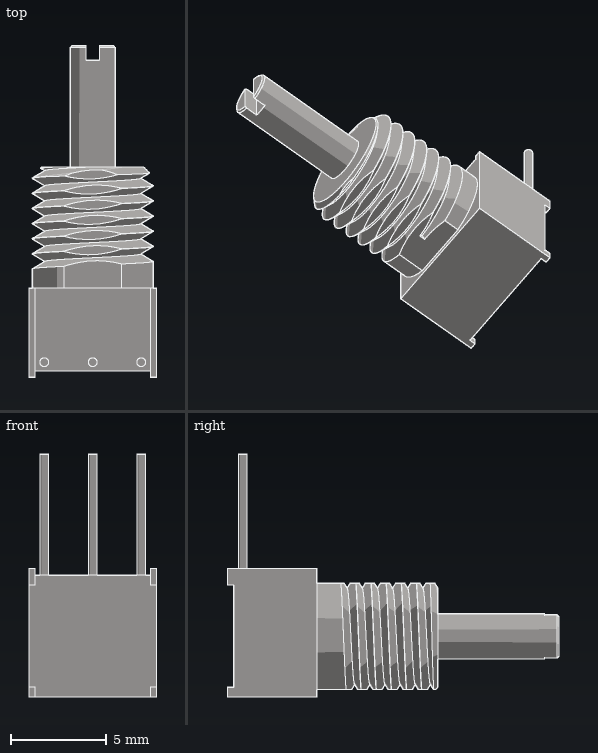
import cadquery as cq
import math

INCH = 25.4

housing_width = 6.71
housing_depth = 4.36
housing_height = 6.40
housing_bottom = -3.19
housing_top = housing_bottom + housing_height
plate_thickness = 0.33
plate_rise = 0.36
foot_length = 0.33
upper_foot_height = 0.88
lower_foot_height = 0.53

pin_diameter = 0.46
pin_length = 0.25 * INCH
pin_pitch = 0.1 * INCH
pin_y = -3.89
pin_count = 3

bushing_radius = 0.25 * INCH / 2
bushing_length = 0.25 * INCH
flat_height = 2.79
end_chamfer = 0.51
thread_pitch = INCH / 32
thread_depth = 0.65
thread_start = thread_pitch
groove_width = 0.98 * thread_pitch
groove_clearance = 0.1

shaft_radius = 3 / 32 * INCH / 2
shaft_length = 0.25 * INCH
shaft_chamfer = 0.1
slot_width = 0.70
slot_depth = 0.76


def rod(radius, y_start, length):
    """Cylinder on the Y axis, from y_start toward +Y."""
    return cq.Workplane("XZ", origin=(0, y_start, 0)).circle(radius).extrude(-length)


def slab(x_size, y_range, z_range, x_center=0):
    """Box centred on x_center that spans the given Y and Z ranges."""
    y_low, y_high = y_range
    z_low, z_high = z_range
    box = cq.Workplane("XY").box(x_size, y_high - y_low, z_high - z_low)
    return box.translate((x_center, (y_low + y_high) / 2, (z_low + z_high) / 2))


def make_housing():
    block_y = (-housing_depth, 0)
    foot_y = (-housing_depth - foot_length, 0)
    plate_top = housing_top + plate_rise
    body = slab(housing_width, block_y, (housing_bottom, housing_top))
    for side in (-1, 1):
        plate_x = side * (housing_width - plate_thickness) / 2
        plate_z = (housing_bottom, plate_top)
        upper_foot_z = (plate_top - upper_foot_height, plate_top)
        lower_foot_z = (housing_bottom, housing_bottom + lower_foot_height)
        body = body.union(slab(plate_thickness, block_y, plate_z, plate_x))
        body = body.union(slab(plate_thickness, foot_y, upper_foot_z, plate_x))
        body = body.union(slab(plate_thickness, foot_y, lower_foot_z, plate_x))
    return body


def make_pins():
    first_x = -pin_pitch * (pin_count - 1) / 2
    centers = [(first_x + i * pin_pitch, pin_y) for i in range(pin_count)]
    embed = housing_height / 2
    base = cq.Workplane("XY").workplane(offset=housing_top - embed)
    return base.pushPoints(centers).circle(pin_diameter / 2).extrude(pin_length + embed)


def make_thread_groove():
    """Right-hand V groove that begins below the axis and runs out of the end."""
    half_width = groove_width / 2
    root_radius = bushing_radius - thread_depth
    outer_radius = bushing_radius + groove_clearance
    groove_start = thread_start + thread_pitch / 2
    turns = math.ceil((bushing_length - groove_start) / thread_pitch) + 1
    helix = cq.Wire.makeHelix(thread_pitch, turns * thread_pitch, root_radius)
    profile = [
        (root_radius, 0),
        (bushing_radius, half_width),
        (outer_radius, half_width),
        (outer_radius, -half_width),
        (bushing_radius, -half_width),
    ]
    groove = cq.Workplane("XZ").polyline(profile).close().sweep(cq.Workplane(helix), isFrenet=True)
    groove = groove.rotate((0, 0, 0), (0, 0, 1), 90)
    groove = groove.rotate((0, 0, 0), (1, 0, 0), -90)
    return groove.translate((0, groove_start, 0))


def make_bushing():
    bushing = rod(bushing_radius, 0, bushing_length)
    bushing = bushing.faces(">Y").chamfer(end_chamfer)
    flats = slab(2 * bushing_radius, (0, bushing_length), (-flat_height, flat_height))
    return bushing.intersect(flats).cut(make_thread_groove())


def make_shaft():
    tip_y = bushing_length + shaft_length
    shaft = rod(shaft_radius, 0, tip_y)
    shaft = shaft.faces(">Y").chamfer(shaft_chamfer)
    slot = slab(slot_width, (tip_y - slot_depth, tip_y), (-shaft_radius, shaft_radius))
    return shaft.cut(slot)


result = make_housing().union(make_pins()).union(make_bushing()).union(make_shaft())